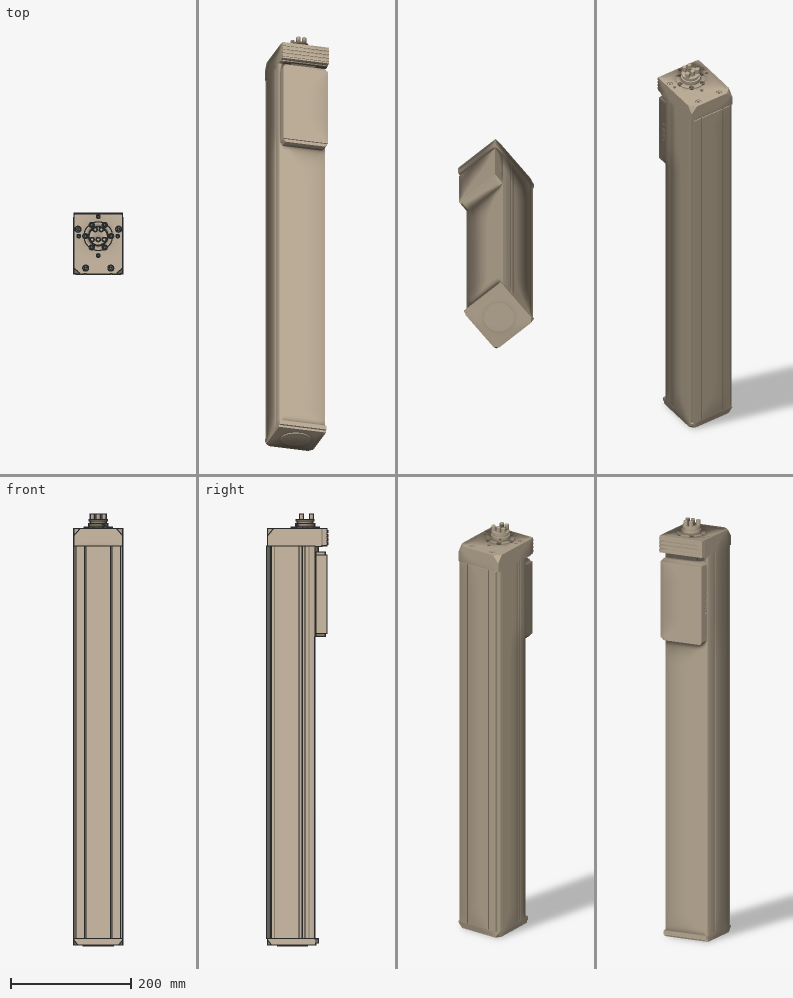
import cadquery as cq
import math

TOTAL_HEIGHT = 719.5
WIDTH = 82.0
FRONT_Y = -64.0
PROFILE_BACK_Y = 16.5
PROFILE_BOTTOM = 12.0
PROFILE_TOP = 666.0
HEAD_TOP = 695.0
CAP_BOTTOM = 1.5
END_FRONT_Y = -62.5
HALF_WIDTH = WIDTH / 2

BACK_CURVE_Y = 6.5
BACK_CURVE_INSET = 1.5
BACK_CURVE_BULGE = 0.35
FRONT_SLOT_X = 21.5
FRONT_SLOT_WIDTH = 2.0
FRONT_SLOT_DEPTH = 3.5
CORNER_STEP_X = 37.0
SIDE_GROOVES = ((-2.0, 4.0), (-8.0, 5.0))
SIDE_GROOVE_DEPTH = 1.0
LOWER_GROOVE_FRONT_Y = -60.0
LOWER_GROOVE_FLOOR_Y = -57.5
LOWER_GROOVE_RAMP_Y = -55.5
LOWER_GROOVE_BACK_Y = -51.0
LOWER_GROOVE_DEPTH = 2.0
LOWER_GROOVE_RAMP_DEPTH = 0.35

HEAD_REAR_Y = 37.0
HEAD_TAPER_Y = 28.0
HEAD_TAPER = 1.0
HEAD_LIP_BOTTOM = 665.0
HEAD_CORNER = (11.0, 10.0, 12.0)
RIB_OUTER_Y = 38.0
RIB_HEIGHT = 3.5
RIB_FIRST_Z = 670.5
RIB_PITCH = 6.5
RIB_COUNT = 4
HOLE_CLEARANCE = 7.0
TAPPED_HOLE_RADIUS = 32.5
TAPPED_HOLE_COUNT = 4
TAPPED_HOLE_ENTRY = 6.2
TAPPED_HOLE_DIAMETER = 4.1
TAPPED_ENTRY_DEPTH = 1.5
TAPPED_HOLE_DEPTH = 11.0
FLANGE_HOLE_RADIUS = 21.5
FLANGE_HOLE_COUNT = 6
FLANGE_HOLE_COUNTERBORE = 8.5
FLANGE_HOLE_DIAMETER = 5.0
FLANGE_COUNTERBORE_DEPTH = 2.0
FLANGE_HOLE_DEPTH = 11.0

SCREW_PLACES = ((-34.0, 11.5), (34.0, 11.5), (-21.0, -53.0), (21.0, -53.0))
COUNTERBORE_DIAMETER = 10.0
COUNTERBORE_DEPTH = 6.0
SCREW_HEAD_DIAMETER = 8.5
SCREW_HEAD_HEIGHT = 5.0
SCREW_SHANK_DIAMETER = 5.0
SCREW_THREAD_DEPTH = 11.0
SCREW_SOCKET_DIAMETER = 4.1
SCREW_SOCKET_DEPTH = 3.0

CAP_BACK_Y = 18.0
CAP_CORNER = (7.0, 7.0, 8.5)
CAP_LIP_Y = 22.0
CAP_LIP_BOTTOM = 5.0
CAP_LIP_INSET = 1.0
CAP_DISC_DIAMETER = 50.0
CAP_DISC_Y = -21.0

FLANGE_DIAMETER = 47.5
FLANGE_TOP = 697.0
COLLAR_DIAMETER = 32.5
COLLAR_TOP = 703.5
NECK_DIAMETER = 27.0
NECK_TOP = 707.0
DISC_DIAMETER = 30.0
DISC_TOP = 710.0
STUD_DIAMETER = 7.0
STUD_PLACES = ((-10.0, -6.0), (0, -6.0), (10.0, -6.0), (-5.0, 11.0), (5.0, 11.0))
STUD_CHAMFER = 1.0
COLLAR_HOLE_DIAMETER = 4.0
COLLAR_HOLE_DEPTH = 6.0
COLLAR_HOLE_ANGLE = -55.0

BOX_WIDTH = 78.0
BOX_BACK_Y = 37.0
BOX_BASE_Y = 18.0
BOX_BASE_INSET = 1.0
BOX_BOTTOM = 520.0
BOX_TOP = 651.0
BOX_END_LENGTH = 5.0
BOX_END_SIDE_INSET = 4.0
BOX_END_BACK_INSET = 3.0
BOX_SLOT_LEVELS = (602.0, 591.0, 587.0, 580.5, 576.0)
BOX_SLOT_HEIGHT = 2.0
BOX_SLOT_WIDTH = 7.0
BOX_SLOT_Y = 22.0
BOX_SLOT_DEPTH = 2.0
BOX_HOLE_DIAMETER = 4.9
BOX_HOLE_Y = 23.0
BOX_HOLE_Z = 569.0

LINK_WIDTH = 43.0
LINK_BACK_Y = 22.0


def block(x_range, y_range, z_range):
    """Box between the given limits."""
    (x0, x1), (y0, y1), (z0, z1) = x_range, y_range, z_range
    return cq.Workplane("XY").box(x1 - x0, y1 - y0, z1 - z0, centered=False).translate((x0, y0, z0))


def centered_block(width, y_range, z_range):
    """Box of the given X width, symmetric about X = 0."""
    return block((-width / 2, width / 2), y_range, z_range)


def disc(diameter, bottom, top, place=(0, 0)):
    """Upright cylinder between two Z levels."""
    start = cq.Workplane("XY").workplane(offset=bottom)
    return start.center(*place).circle(diameter / 2).extrude(top - bottom)


def ring_places(radius, count):
    """Points equally spaced on a circle about the rod axis."""
    angles = [math.radians(360 * i / count) for i in range(count)]
    return [(radius * math.cos(a), radius * math.sin(a)) for a in angles]


def stepped_hole(place, top, entry_diameter, entry_depth, diameter, depth):
    """Cutter for a hole with a wider entry, running down from the top level."""
    entry = disc(entry_diameter, top - entry_depth, top + HOLE_CLEARANCE, place)
    return entry.union(disc(diameter, top - depth, top, place))


def corner_cutter(side, y, z, legs, z_direction):
    """Tetrahedron that slices off the corner at X = side * HALF_WIDTH, Y = y, Z = z."""
    leg_x, leg_y, leg_z = legs
    corner = cq.Vector(side * HALF_WIDTH, y, z)
    on_x = corner + cq.Vector(-side * leg_x, 0, 0)
    on_y = corner + cq.Vector(0, leg_y, 0)
    on_z = corner + cq.Vector(0, 0, z_direction * leg_z)
    triangles = ((corner, on_x, on_y), (corner, on_y, on_z), (corner, on_z, on_x), (on_x, on_y, on_z))
    faces = [cq.Face.makeFromWires(cq.Wire.makePolygon(t, close=True)) for t in triangles]
    solid = cq.Solid.makeSolid(cq.Shell.makeShell(faces))
    return cq.Workplane("XY").newObject([solid])


def screw_seat(place):
    """Cutter for one corner screw: counterbore and shank hole down into the profile."""
    depth = HEAD_TOP - PROFILE_TOP + SCREW_THREAD_DEPTH
    return stepped_hole(place, HEAD_TOP, COUNTERBORE_DIAMETER, COUNTERBORE_DEPTH, SCREW_SHANK_DIAMETER, depth)


def make_profile():
    """Long extrusion with grooves along its front and sides."""
    back_x = HALF_WIDTH - BACK_CURVE_INSET
    curve_middle_x = HALF_WIDTH - BACK_CURVE_INSET / 2 + BACK_CURVE_BULGE
    curve_middle_y = (BACK_CURVE_Y + PROFILE_BACK_Y) / 2
    length = PROFILE_TOP - PROFILE_BOTTOM
    start = cq.Workplane("XY").workplane(offset=PROFILE_BOTTOM)
    profile = (
        start.moveTo(-HALF_WIDTH, LOWER_GROOVE_FRONT_Y)
        .lineTo(-CORNER_STEP_X, LOWER_GROOVE_FRONT_Y)
        .lineTo(-CORNER_STEP_X, FRONT_Y)
        .lineTo(CORNER_STEP_X, FRONT_Y)
        .lineTo(CORNER_STEP_X, LOWER_GROOVE_FRONT_Y)
        .lineTo(HALF_WIDTH, LOWER_GROOVE_FRONT_Y)
        .lineTo(HALF_WIDTH, BACK_CURVE_Y)
        .threePointArc((curve_middle_x, curve_middle_y), (back_x, PROFILE_BACK_Y))
        .lineTo(-back_x, PROFILE_BACK_Y)
        .threePointArc((-curve_middle_x, curve_middle_y), (-HALF_WIDTH, BACK_CURVE_Y))
        .close()
        .extrude(length)
    )
    floor_x = HALF_WIDTH - LOWER_GROOVE_DEPTH
    ramp_x = HALF_WIDTH - LOWER_GROOVE_RAMP_DEPTH
    for side in (-1, 1):
        front_slot = start.center(side * FRONT_SLOT_X, FRONT_Y).rect(FRONT_SLOT_WIDTH, 2 * FRONT_SLOT_DEPTH)
        profile = profile.cut(front_slot.extrude(length))
        for y, width in SIDE_GROOVES:
            groove = start.center(side * HALF_WIDTH, y).rect(2 * SIDE_GROOVE_DEPTH, width).extrude(length)
            profile = profile.cut(groove)
        lower_groove = (
            start.moveTo(side * HALF_WIDTH, LOWER_GROOVE_FRONT_Y)
            .lineTo(side * floor_x, LOWER_GROOVE_FLOOR_Y)
            .lineTo(side * ramp_x, LOWER_GROOVE_RAMP_Y)
            .lineTo(side * HALF_WIDTH, LOWER_GROOVE_BACK_Y)
            .close()
            .extrude(length)
        )
        profile = profile.cut(lower_groove)
    for place in SCREW_PLACES:
        profile = profile.cut(screw_seat(place))
    return profile


def make_head():
    """Top block with an overhanging tapered rear, ribs and the bolt holes."""
    front = centered_block(WIDTH, (END_FRONT_Y, PROFILE_BACK_Y), (PROFILE_TOP, HEAD_TOP))
    overhang = centered_block(WIDTH, (PROFILE_BACK_Y, HEAD_TAPER_Y), (HEAD_LIP_BOTTOM, HEAD_TOP))
    rear_outline = (
        cq.Workplane("XY")
        .workplane(offset=PROFILE_TOP)
        .moveTo(-HALF_WIDTH, HEAD_TAPER_Y)
        .lineTo(HALF_WIDTH, HEAD_TAPER_Y)
        .lineTo(HALF_WIDTH - HEAD_TAPER, HEAD_REAR_Y)
        .lineTo(-HALF_WIDTH + HEAD_TAPER, HEAD_REAR_Y)
        .close()
    )
    head = front.union(overhang).union(rear_outline.extrude(HEAD_TOP - PROFILE_TOP))
    rib_width = WIDTH - 2 * HEAD_TAPER
    for i in range(RIB_COUNT):
        z = RIB_FIRST_Z + i * RIB_PITCH
        z_range = (z - RIB_HEIGHT / 2, z + RIB_HEIGHT / 2)
        head = head.union(centered_block(rib_width, (HEAD_REAR_Y, RIB_OUTER_Y), z_range))
    for side in (-1, 1):
        head = head.cut(corner_cutter(side, END_FRONT_Y, HEAD_TOP, HEAD_CORNER, -1))
    for place in SCREW_PLACES:
        head = head.cut(screw_seat(place))
    for place in ring_places(TAPPED_HOLE_RADIUS, TAPPED_HOLE_COUNT):
        hole = stepped_hole(
            place, HEAD_TOP, TAPPED_HOLE_ENTRY, TAPPED_ENTRY_DEPTH, TAPPED_HOLE_DIAMETER, TAPPED_HOLE_DEPTH
        )
        head = head.cut(hole)
    return head.cut(flange_holes())


def flange_holes():
    """Cutter for the ring of counterbored holes at the edge of the rod flange."""
    cutter = cq.Workplane("XY")
    for place in ring_places(FLANGE_HOLE_RADIUS, FLANGE_HOLE_COUNT):
        hole = stepped_hole(
            place,
            HEAD_TOP,
            FLANGE_HOLE_COUNTERBORE,
            FLANGE_COUNTERBORE_DEPTH,
            FLANGE_HOLE_DIAMETER,
            FLANGE_HOLE_DEPTH,
        )
        cutter = cutter.add(hole)
    return cutter.combine()


def make_rod_end():
    """Flange, collar, neck and disc in one turned piece, topped by two rows of studs."""
    rod_end = disc(FLANGE_DIAMETER, HEAD_TOP, FLANGE_TOP).cut(flange_holes())
    rod_end = rod_end.union(disc(COLLAR_DIAMETER, HEAD_TOP, COLLAR_TOP))
    rod_end = rod_end.union(disc(NECK_DIAMETER, COLLAR_TOP, NECK_TOP))
    rod_end = rod_end.union(disc(DISC_DIAMETER, NECK_TOP, DISC_TOP))
    for place in STUD_PLACES:
        stud = disc(STUD_DIAMETER, DISC_TOP, TOTAL_HEIGHT, place).faces(">Z").chamfer(STUD_CHAMFER)
        rod_end = rod_end.union(stud)
    angle = math.radians(COLLAR_HOLE_ANGLE)
    outward = cq.Vector(math.cos(angle), math.sin(angle), 0)
    surface = outward * (COLLAR_DIAMETER / 2) + cq.Vector(0, 0, (FLANGE_TOP + COLLAR_TOP) / 2)
    hole = cq.Solid.makeCylinder(
        COLLAR_HOLE_DIAMETER / 2, 2 * COLLAR_HOLE_DEPTH, surface + outward * COLLAR_HOLE_DEPTH, outward * -1
    )
    return rod_end.cut(cq.Workplane("XY").newObject([hole]))


def make_end_cap():
    """Bottom cover with a wide rear lip and a thin disc underneath."""
    cap = centered_block(WIDTH, (END_FRONT_Y, CAP_BACK_Y), (CAP_BOTTOM, PROFILE_BOTTOM))
    for side in (-1, 1):
        cap = cap.cut(corner_cutter(side, END_FRONT_Y, CAP_BOTTOM, CAP_CORNER, 1))
    lip_width = WIDTH - 2 * CAP_LIP_INSET
    cap = cap.union(centered_block(lip_width, (CAP_BACK_Y, CAP_LIP_Y), (CAP_LIP_BOTTOM, PROFILE_BOTTOM)))
    return cap.union(disc(CAP_DISC_DIAMETER, 0, CAP_BOTTOM, (0, CAP_DISC_Y)))


def make_box_end(level, direction):
    """End piece of the drive box, set back from the rear face and tapering in width."""
    half_width = BOX_WIDTH / 2
    narrow_half = half_width - BOX_END_SIDE_INSET
    end_level = level + direction * BOX_END_LENGTH
    depth = BOX_BACK_Y - BOX_END_BACK_INSET - BOX_BASE_Y
    return (
        cq.Workplane("XZ", origin=(0, BOX_BASE_Y, 0))
        .moveTo(-half_width, level)
        .lineTo(half_width, level)
        .lineTo(narrow_half, end_level)
        .lineTo(-narrow_half, end_level)
        .close()
        .extrude(-depth)
    )


def make_drive_box():
    """Drive box on a thin base plate, with slots and a hole in its -X side."""
    box = centered_block(BOX_WIDTH, (BOX_BASE_Y, BOX_BACK_Y), (BOX_BOTTOM, BOX_TOP))
    box = box.union(make_box_end(BOX_TOP, 1)).union(make_box_end(BOX_BOTTOM, -1))
    base_width = BOX_WIDTH - 2 * (BOX_END_SIDE_INSET + BOX_BASE_INSET)
    base_z = (BOX_BOTTOM - BOX_END_LENGTH, BOX_TOP + BOX_END_LENGTH)
    box = box.union(centered_block(base_width, (PROFILE_BACK_Y, BOX_BASE_Y), base_z))
    side_x = -BOX_WIDTH / 2
    for z in BOX_SLOT_LEVELS:
        slot = block(
            (side_x, side_x + BOX_SLOT_DEPTH),
            (BOX_SLOT_Y - BOX_SLOT_WIDTH / 2, BOX_SLOT_Y + BOX_SLOT_WIDTH / 2),
            (z - BOX_SLOT_HEIGHT / 2, z + BOX_SLOT_HEIGHT / 2),
        )
        box = box.cut(slot)
    hole = cq.Workplane("YZ", origin=(side_x, BOX_HOLE_Y, BOX_HOLE_Z)).circle(BOX_HOLE_DIAMETER / 2)
    return box.cut(hole.extrude(BOX_SLOT_DEPTH))


def make_link():
    """Short bridge against the profile, from the drive box up to the head."""
    z_range = (BOX_TOP + BOX_END_LENGTH, HEAD_LIP_BOTTOM)
    return centered_block(LINK_WIDTH, (PROFILE_BACK_Y, LINK_BACK_Y), z_range)


def make_corner_screw(place):
    """Socket head screw that ties the head to the profile."""
    seat = HEAD_TOP - COUNTERBORE_DEPTH
    head_top = seat + SCREW_HEAD_HEIGHT
    screw = disc(SCREW_HEAD_DIAMETER, seat, head_top, place)
    screw = screw.union(disc(SCREW_SHANK_DIAMETER, PROFILE_TOP - SCREW_THREAD_DEPTH, seat, place))
    return screw.cut(disc(SCREW_SOCKET_DIAMETER, head_top - SCREW_SOCKET_DEPTH, head_top, place))


profile = make_profile()
head = make_head()
rod_end = make_rod_end()
end_cap = make_end_cap()
drive_box = make_drive_box()
link = make_link()
corner_screws = [make_corner_screw(place) for place in SCREW_PLACES]

result = cq.Compound.makeCompound([
    profile.val(),
    head.val(),
    rod_end.val(),
    end_cap.val(),
    drive_box.val(),
    link.val(),
    *[screw.val() for screw in corner_screws],
])